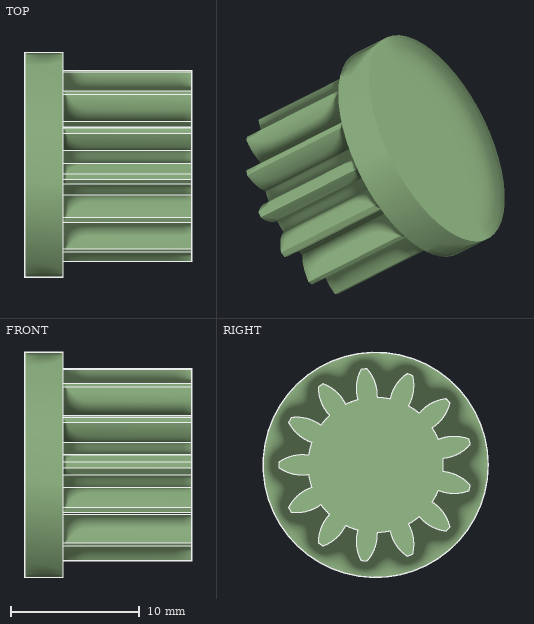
import cadquery as cq
import math

flange_diameter = 17.5
flange_thickness = 3.0

overall_length = 13.0
tooth_count = 13
tip_radius = 7.5
flank_mid_radius = 6.5
root_radius = 5.25

tip_half_angle = 1.7
flank_mid_half_angle = 6.2
root_half_angle = 8.3

tooth_pitch = 360.0 / tooth_count
first_tooth_angle = 180.0


def polar(radius, degrees):
    """Point in the YZ plane, with the angle measured from +Y towards +Z."""
    angle = math.radians(degrees)
    return radius * math.cos(angle), radius * math.sin(angle)


def make_flange():
    return cq.Workplane("YZ").circle(flange_diameter / 2).extrude(flange_thickness)


def make_pinion():
    """Toothed shaft with convex flanks and cylindrical tips and roots."""
    start = first_tooth_angle - root_half_angle
    outline = cq.Workplane("YZ").moveTo(*polar(root_radius, start))
    for index in range(tooth_count):
        center = first_tooth_angle + index * tooth_pitch
        outline = outline.threePointArc(
            polar(flank_mid_radius, center - flank_mid_half_angle),
            polar(tip_radius, center - tip_half_angle),
        )
        outline = outline.threePointArc(
            polar(tip_radius, center),
            polar(tip_radius, center + tip_half_angle),
        )
        outline = outline.threePointArc(
            polar(flank_mid_radius, center + flank_mid_half_angle),
            polar(root_radius, center + root_half_angle),
        )
        outline = outline.threePointArc(
            polar(root_radius, center + tooth_pitch / 2),
            polar(root_radius, center + tooth_pitch - root_half_angle),
        )
    return outline.close().extrude(overall_length)


result = make_flange().union(make_pinion())